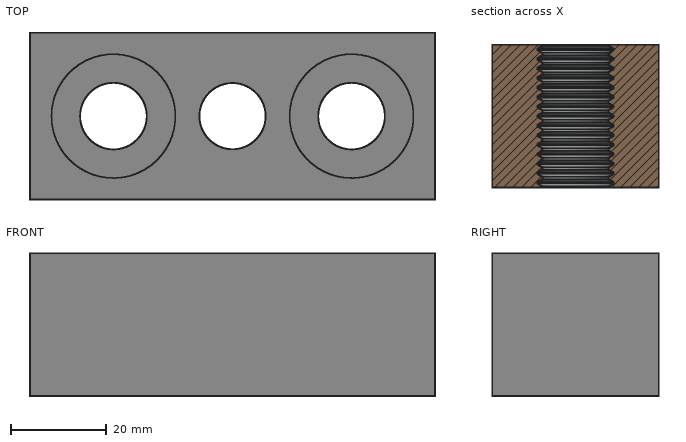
import cadquery as cq
import math

length = 85.0
width = 35.0
height = 30.0

bolt_spacing = 50.0
bolt_hole_diameter = 13.9
counterbore_diameter = 26.0
counterbore_depth = 15.0

thread_minor_diameter = 13.85
thread_count = 15
thread_pitch = height / thread_count
flank_angle = 30.0
crest_width = thread_pitch / 4
root_width = thread_pitch / 8


def make_block():
    """Plain block standing on Z = 0, centred on the Z axis."""
    return cq.Workplane("XY").box(length, width, height, centered=(True, True, False))


def cut_bolt_holes(body):
    """Two through holes, counterbored from the top."""
    return (
        body.faces(">Z")
        .workplane(origin=(0, 0, height))
        .pushPoints([(-bolt_spacing / 2, 0), (bolt_spacing / 2, 0)])
        .cboreHole(bolt_hole_diameter, counterbore_diameter, counterbore_depth)
    )


def make_thread_cutter():
    """Solid of revolution with the crests and grooves of the threaded hole."""
    flank_height = (thread_pitch - crest_width - root_width) / 2
    minor_radius = thread_minor_diameter / 2
    root_radius = minor_radius + flank_height / math.tan(math.radians(flank_angle))

    profile = cq.Workplane("XZ").moveTo(0, 0).lineTo(minor_radius, 0)
    for turn in range(thread_count):
        groove_start = turn * thread_pitch + crest_width / 2
        root_start = groove_start + flank_height
        root_end = root_start + root_width
        groove_end = root_end + flank_height
        profile = (
            profile.lineTo(minor_radius, groove_start)
            .lineTo(root_radius, root_start)
            .lineTo(root_radius, root_end)
            .lineTo(minor_radius, groove_end)
        )
    profile = profile.lineTo(minor_radius, height).lineTo(0, height).close()
    return profile.revolve(360, (0, 0, 0), (0, 1, 0))


result = cut_bolt_holes(make_block()).cut(make_thread_cutter())